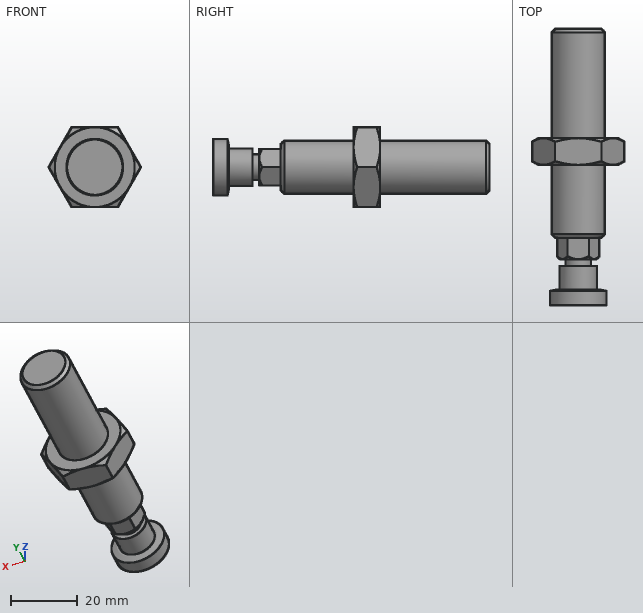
import cadquery as cq
import math


barrel_radius = 8.0
barrel_length = 62.75
barrel_chamfer = 1.1
wrench_flats = 11.0
wrench_length = 6.5
wrench_face_radius = 5.4
wrench_chamfer_angle = 45.0

nut_flats = 24.0
nut_thickness = 8.0
nut_front_y = 21.9
nut_face_radius = nut_flats / 2
nut_chamfer_angle = 30.0

rod_radius = 3.9
rod_length = 1.9
neck_radius = 5.65
neck_length = 7.1
shoulder_radius = 6.5
shoulder_length = 0.45
head_radius = 8.5
head_length = 4.4
head_chamfer = 0.2


def cylinder_along_y(radius, start_y, length):
    """Solid cylinder running from start_y towards +Y."""
    return cq.Workplane("XZ", origin=(0, start_y, 0)).circle(radius).extrude(-length)


def hexagon_along_y(flats, start_y, length):
    """Hexagonal prism with corners on the X axis, running from start_y towards +Y."""
    corner_diameter = flats / math.cos(math.pi / 6)
    return cq.Workplane("XZ", origin=(0, start_y, 0)).polygon(6, corner_diameter).extrude(-length)


def corner_chamfer_envelope(flats, face_radius, angle, start_y, length, both_ends):
    """Turned blank whose conical ends bevel the corners of a hexagon."""
    corner_radius = flats / 2 / math.cos(math.pi / 6)
    bevel = (corner_radius - face_radius) * math.tan(math.radians(angle))
    end_y = start_y + length
    outline = (
        cq.Workplane("XY")
        .moveTo(0, start_y)
        .lineTo(face_radius, start_y)
        .lineTo(corner_radius, start_y + bevel)
    )
    if both_ends:
        outline = outline.lineTo(corner_radius, end_y - bevel).lineTo(face_radius, end_y)
    else:
        outline = outline.lineTo(corner_radius, end_y)
    return outline.lineTo(0, end_y).close().revolve(360, (0, 0, 0), (0, 1, 0))


def make_sleeve():
    barrel = cylinder_along_y(barrel_radius, 0, barrel_length).edges().chamfer(barrel_chamfer)
    wrench = hexagon_along_y(wrench_flats, -wrench_length, wrench_length)
    envelope = corner_chamfer_envelope(
        wrench_flats, wrench_face_radius, wrench_chamfer_angle, -wrench_length, wrench_length, both_ends=False
    )
    return barrel.union(wrench.intersect(envelope))


def make_lock_nut():
    blank = hexagon_along_y(nut_flats, nut_front_y, nut_thickness)
    envelope = corner_chamfer_envelope(
        nut_flats, nut_face_radius, nut_chamfer_angle, nut_front_y, nut_thickness, both_ends=True
    )
    bore = cylinder_along_y(barrel_radius, nut_front_y, nut_thickness)
    return blank.intersect(envelope).cut(bore)


def make_plunger():
    rod_end_y = -wrench_length
    neck_back_y = rod_end_y - rod_length
    shoulder_y = neck_back_y - neck_length
    rim_back_y = shoulder_y - shoulder_length
    head_face_y = rim_back_y - head_length
    return (
        cq.Workplane("XY")
        .moveTo(0, rod_end_y)
        .lineTo(rod_radius, rod_end_y)
        .lineTo(rod_radius, neck_back_y)
        .lineTo(neck_radius, neck_back_y)
        .lineTo(neck_radius, shoulder_y)
        .lineTo(shoulder_radius, shoulder_y)
        .lineTo(head_radius, rim_back_y)
        .lineTo(head_radius, head_face_y + head_chamfer)
        .lineTo(head_radius - head_chamfer, head_face_y)
        .lineTo(0, head_face_y)
        .close()
        .revolve(360, (0, 0, 0), (0, 1, 0))
    )


sleeve = make_sleeve()
lock_nut = make_lock_nut()
plunger = make_plunger()

result = cq.Compound.makeCompound([sleeve.val(), lock_nut.val(), plunger.val()])